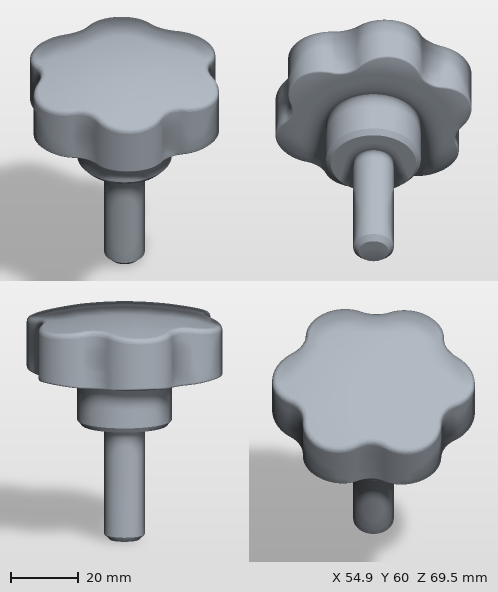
import cadquery as cq
import math

total_height = 69.5
hub_bottom = 34.5
hub_height = 15.0
head_bottom = hub_bottom + hub_height

stud_diameter = 12.0
stud_chamfer = 1.5
hub_diameter = 28.0
hub_chamfer_height = 1.5
hub_chamfer_width = 1.3

lobe_count = 6
head_diameter = 60.0
lobe_radius = 11.0
valley_radius = 8.0
lobe_center_distance = head_diameter / 2 - lobe_radius

dome_radius = 114.7
underside_flat_radius = 23.2
underside_curve_radius = 20.0
top_fillet = 1.5
bottom_fillet = 0.55

blank_margin = 0.7
blank_radius = head_diameter / 2 + blank_margin

rim_inner_radius = 24.3


def polar(distance, angle):
    """Point at a distance from the axis; the angle is in radians from +X."""
    return (distance * math.cos(angle), distance * math.sin(angle))


def make_lobed_prism():
    """Vertical prism with one lobe centred on +Y and valleys between lobes."""
    half_pitch = math.pi / lobe_count
    half_spacing = lobe_center_distance * math.sin(half_pitch)
    center_gap = lobe_radius + valley_radius
    valley_center_distance = (
        lobe_center_distance * math.cos(half_pitch)
        + math.sqrt(center_gap**2 - half_spacing**2)
    )
    valley_floor_distance = valley_center_distance - valley_radius

    share = lobe_radius / center_gap
    lobe_x = lobe_center_distance
    valley_x, valley_y = polar(valley_center_distance, half_pitch)
    joint_x = lobe_x + share * (valley_x - lobe_x)
    joint_y = share * valley_y
    joint_distance = math.hypot(joint_x, joint_y)
    joint_angle = math.atan2(joint_y, joint_x)

    first_lobe_angle = math.pi / 2
    outline = cq.Workplane("XY").moveTo(*polar(joint_distance, first_lobe_angle - joint_angle))
    for index in range(lobe_count):
        lobe_angle = first_lobe_angle + 2 * half_pitch * index
        valley_angle = lobe_angle + half_pitch
        next_lobe_angle = lobe_angle + 2 * half_pitch
        outline = outline.threePointArc(
            polar(head_diameter / 2, lobe_angle),
            polar(joint_distance, lobe_angle + joint_angle),
        ).threePointArc(
            polar(valley_floor_distance, valley_angle),
            polar(joint_distance, next_lobe_angle - joint_angle),
        )
    return outline.close().extrude(total_height)


def make_head_blank():
    """Round blank with a spherical top and an underside that curves up at its rim."""

    def dome_z(radius):
        return total_height - dome_radius + math.sqrt(dome_radius**2 - radius**2)

    def underside_z(radius):
        run = radius - underside_flat_radius
        return head_bottom + underside_curve_radius - math.sqrt(underside_curve_radius**2 - run**2)

    curve_middle = (underside_flat_radius + blank_radius) / 2
    return (
        cq.Workplane("XZ")
        .moveTo(0, head_bottom)
        .lineTo(underside_flat_radius, head_bottom)
        .threePointArc((curve_middle, underside_z(curve_middle)), (blank_radius, underside_z(blank_radius)))
        .lineTo(blank_radius, dome_z(blank_radius))
        .threePointArc((blank_radius / 2, dome_z(blank_radius / 2)), (0, total_height))
        .close()
        .revolve(360, (0, 0, 0), (0, 1, 0))
    )


def is_rim_edge(edge):
    """True for edges that follow the lobed outline, false for those nearer the axis."""
    center = edge.Center()
    return math.hypot(center.x, center.y) > rim_inner_radius


def make_head():
    """Lobed head with its top and bottom rims rounded."""
    head = make_head_blank().intersect(make_lobed_prism())
    middle_z = (head_bottom + total_height) / 2
    rim = head.edges("not |Z").filter(is_rim_edge)
    head = rim.filter(lambda edge: edge.Center().z > middle_z).fillet(top_fillet)
    rim = head.edges("not |Z").filter(is_rim_edge)
    return rim.filter(lambda edge: edge.Center().z < middle_z).fillet(bottom_fillet)


def make_hub_and_stud():
    """Turned hub and stud, both chamfered at their lower ends."""
    hub_radius = hub_diameter / 2
    stud_radius = stud_diameter / 2
    return (
        cq.Workplane("XZ")
        .moveTo(0, 0)
        .lineTo(stud_radius - stud_chamfer, 0)
        .lineTo(stud_radius, stud_chamfer)
        .lineTo(stud_radius, hub_bottom)
        .lineTo(hub_radius - hub_chamfer_width, hub_bottom)
        .lineTo(hub_radius, hub_bottom + hub_chamfer_height)
        .lineTo(hub_radius, head_bottom)
        .lineTo(0, head_bottom)
        .close()
        .revolve(360, (0, 0, 0), (0, 1, 0))
    )


result = make_head().union(make_hub_and_stud())